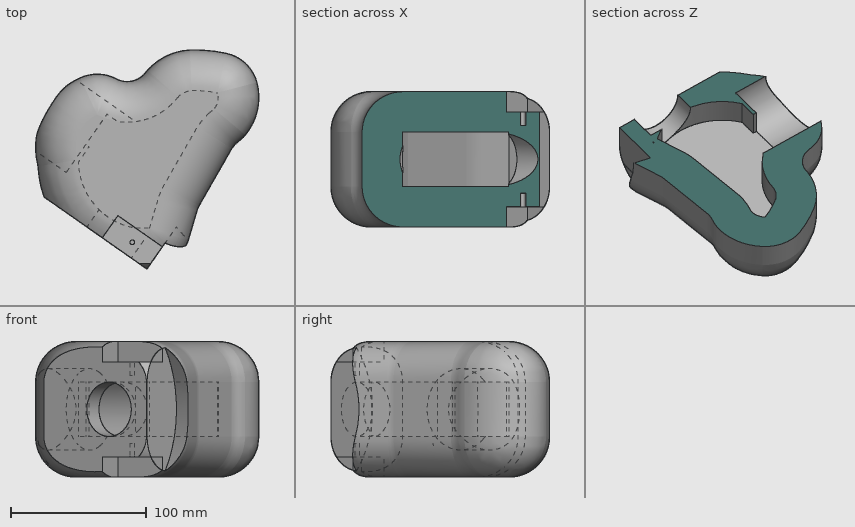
import cadquery as cq

height = 100.0
wall = 30.0
core_height = height - 2 * wall
rim_slack = 0.01

lobe_left_tip = (-36.8, 32.8)
notch_floor = (-14.6, 27.3)
notch_end = (22.6, 45.7)
crown_mid = (27.5, 49.3)
crown_end = (32.9, 50.6)
brow_mid = (42.4, 50.3)
brow_end = (51.9, 48.8)
lobe_right_mid = (52.0, 42.6)
lobe_right_end = (49.3, 37.2)
flank_top_mid = (42.45, 31.0)
flank_top = (36.8, 23.7)
flank_bottom = (12.0, -19.7)
flank_bend_mid = (9.5, -25.0)
flank_bend_end = (7.7, -30.4)
bottom_right = (1.7, -50.6)
bottom_left = (-9.0, -50.6)
belly_mid = (-43.9, -26.2)
belly_end = (-50.6, -0.5)
cheek_mid = (-50.0, 19.4)

face_angle = -35.0
face_start = (-76.4, -27.5)
face_length = 93.0
clearance = 150.0

face_bore_diameter = 40.0
face_bore_along = 59.0
face_bore_depth = 20.0

side_bore_diameter = 60.0
side_bore_offset = 54.2
side_bore_end = 3.5
side_bore_relief_end = 30.0
side_bore_reach = 120.0

ledge_top = 49.3
ledge_width = 15.0
ledge_thickness = 3.0

step_length = 40.0
step_width = 20.0
step_depth = 15.0
step_web = 0.1
screw_diameter = 3.4
screw_depth = 10.0

hollow_crest = (21.3, -49.5)
hollow_angle = -49.0
hollow_radius = 80.0


def core_outline():
    return (
        cq.Workplane("XY")
        .workplane(offset=-core_height / 2)
        .moveTo(*lobe_left_tip)
        .threePointArc(notch_floor, notch_end)
        .threePointArc(crown_mid, crown_end)
        .threePointArc(brow_mid, brow_end)
        .threePointArc(lobe_right_mid, lobe_right_end)
        .threePointArc(flank_top_mid, flank_top)
        .lineTo(*flank_bottom)
        .threePointArc(flank_bend_mid, flank_bend_end)
        .lineTo(*bottom_right)
        .lineTo(*bottom_left)
        .threePointArc(belly_mid, belly_end)
        .threePointArc(cheek_mid, lobe_left_tip)
        .close()
    )


def face_frame(z=0.0):
    """Horizontal workplane with x along the mounting face and y into the body."""
    plane = cq.Plane(origin=(*face_start, z)).rotated((0, 0, face_angle))
    return cq.Workplane(plane)


def padded_body():
    blank = core_outline().offset2D(wall).extrude(height).translate((0, 0, -wall))
    return blank.faces("|Z").edges().fillet(wall - rim_slack)


def outside_face():
    """Everything in front of the mounting face."""
    return (
        face_frame()
        .center(face_length / 2, -clearance / 2)
        .box(2 * clearance, clearance, 2 * height)
    )


def bore(axis_start, direction, diameter, depth):
    start = cq.Vector(*axis_start)
    return cq.Workplane(cq.Solid.makeCylinder(diameter / 2, depth, start, cq.Vector(*direction)))


def beside_block():
    """Rounded hollow that ends at the end wall of the mounting block."""
    hollow_frame = cq.Plane(origin=(*hollow_crest, 0)).rotated((0, 0, hollow_angle))
    axis_start = hollow_frame.toWorldCoords((-clearance, -hollow_radius, 0))
    hollow = bore(axis_start.toTuple(), hollow_frame.xDir.toTuple(), 2 * hollow_radius, 2 * clearance)
    past_block = (
        face_frame()
        .center(face_length + clearance / 2, 0)
        .box(clearance, 2 * clearance, 2 * height)
    )
    return hollow.intersect(past_block)


def face_point(along, into):
    return face_frame().plane.toWorldCoords((along, into, 0))


def face_bore():
    into_body = face_frame().plane.yDir
    start = face_point(face_bore_along, 0)
    return bore(start.toTuple(), into_body.toTuple(), face_bore_diameter, face_bore_depth)


def side_bore(along_end):
    along_face = face_frame().plane.xDir
    start = face_point(along_end - side_bore_reach, side_bore_offset)
    return bore(start.toTuple(), along_face.toTuple(), side_bore_diameter, side_bore_reach)


def bore_end_ledge():
    """Ledge that carries the flat end of the side bore into the near side of the core."""
    return (
        face_frame()
        .center(side_bore_end + ledge_thickness / 2, ledge_top - ledge_width / 2)
        .box(ledge_thickness, ledge_width, core_height)
    )


def bore_relief():
    """Far half of the side bore, carried on into the core at the core's own height."""
    far_half = (
        face_frame()
        .center(side_bore_relief_end / 2, side_bore_offset + side_bore_diameter / 4)
        .box(side_bore_relief_end, side_bore_diameter / 2, core_height)
    )
    return side_bore(side_bore_relief_end).intersect(far_half)


def step(side):
    """Screw seat on the top (side=1) or bottom (side=-1) of the mounting block."""
    along = face_length - step_web - step_length / 2
    seat = height / 2 - step_depth
    pocket = (
        face_frame(side * (seat + step_depth))
        .center(along, 0)
        .box(step_length, 2 * step_width, 2 * step_depth)
    )
    screw = (
        face_frame(side * (seat - screw_depth / 2))
        .center(along, step_width / 2)
        .cylinder(screw_depth, screw_diameter / 2)
    )
    return pocket.union(screw)


result = padded_body()
result = result.cut(outside_face()).cut(beside_block())
result = result.cut(core_outline().extrude(core_height))
result = result.union(bore_end_ledge())
result = result.cut(face_bore()).cut(side_bore(side_bore_end)).cut(bore_relief())
for side in (1, -1):
    result = result.cut(step(side))